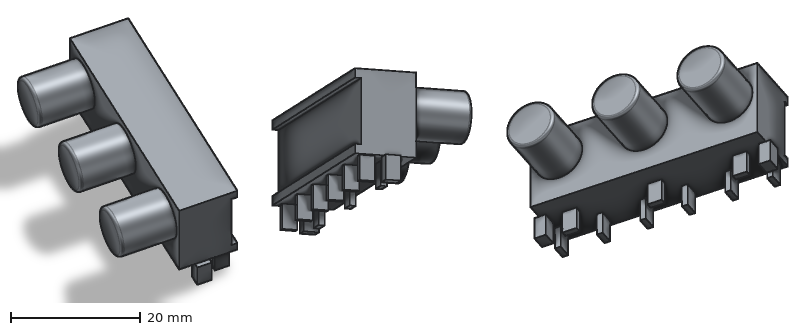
import cadquery as cq

body_width = 40.0
body_depth = 10.0
body_height = 13.5
rear_recess_depth = 1.0
rear_lip_height = 1.5

barrel_spacing = 15.0
barrel_diameter = 8.3
barrel_length = 9.53
barrel_drop = 5.5
barrel_edge_radius = 0.5
barrel_xs = [-barrel_spacing, 0, barrel_spacing]

pin_length = 4.0
pin_thickness = 1.0
pin_width = 2.5
side_pin_offset = 3.7
side_pin_y = body_depth - rear_recess_depth - pin_width / 2

overall_width = 41.6
tab_width = 2.0
tab_outset = (overall_width - body_width) / 2
tab_x = body_width / 2 + tab_outset - tab_width / 2
tab_y = 4.0


def make_body():
    body = cq.Workplane("XY").box(
        body_width, body_depth, body_height, centered=(True, False, False)
    )
    recess = (
        cq.Workplane("XY")
        .box(
            body_width,
            rear_recess_depth,
            body_height - 2 * rear_lip_height,
            centered=(True, False, False),
        )
        .translate((0, body_depth - rear_recess_depth, rear_lip_height))
    )
    return body.cut(recess)


def make_barrel(x):
    return (
        cq.Workplane("XZ")
        .center(x, body_height - barrel_drop)
        .circle(barrel_diameter / 2)
        .extrude(barrel_length)
        .faces("<Y")
        .edges()
        .fillet(barrel_edge_radius)
    )


def make_pin(x, y, size_x, size_y):
    return cq.Workplane("XY").center(x, y).rect(size_x, size_y).extrude(-pin_length)


result = make_body()

for barrel_x in barrel_xs:
    result = result.union(make_barrel(barrel_x))
    result = result.union(make_pin(barrel_x, tab_y, pin_width, pin_thickness))
    for side in (-1, 1):
        side_pin_x = barrel_x + side * side_pin_offset
        result = result.union(make_pin(side_pin_x, side_pin_y, pin_thickness, pin_width))

for side in (-1, 1):
    result = result.union(make_pin(side * tab_x, tab_y, tab_width, pin_width))